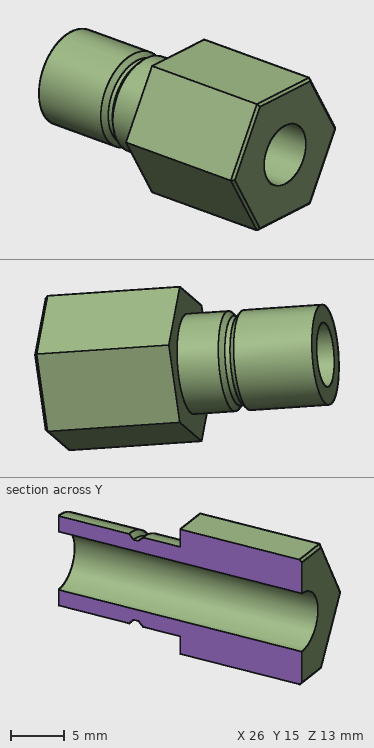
import cadquery as cq
import math

total_length = 26.0
hex_length = total_length / 2
hex_across_flats = 13.0
hex_across_corners = hex_across_flats / math.cos(math.radians(30))
hex_end_chamfer = 0.25

spigot_length = total_length - hex_length
spigot_radius = 4.68
bore_diameter = 6.0

groove_start = 7.55
groove_depth = 0.5
groove_floor_width = 0.5


def make_spigot():
    """Revolved spigot with the V-flanked groove in its outline."""
    floor_start = groove_start + groove_depth
    floor_end = floor_start + groove_floor_width
    groove_end = floor_end + groove_depth
    floor_radius = spigot_radius - groove_depth
    outline = [
        (0, 0),
        (0, spigot_radius),
        (groove_start, spigot_radius),
        (floor_start, floor_radius),
        (floor_end, floor_radius),
        (groove_end, spigot_radius),
        (spigot_length, spigot_radius),
        (spigot_length, 0),
    ]
    return cq.Workplane("XY").polyline(outline).close().revolve(360, (0, 0), (1, 0))


def make_hex_body():
    """Hexagonal body with corners on the Y axis and a chamfered outer end."""
    body = (
        cq.Workplane("YZ", origin=(spigot_length, 0, 0))
        .polygon(6, hex_across_corners)
        .extrude(hex_length)
    )
    return body.faces(">X").chamfer(hex_end_chamfer)


def make_bore():
    """Plain round bore through the full length."""
    return cq.Workplane("YZ").circle(bore_diameter / 2).extrude(total_length)


result = make_spigot().union(make_hex_body()).cut(make_bore())